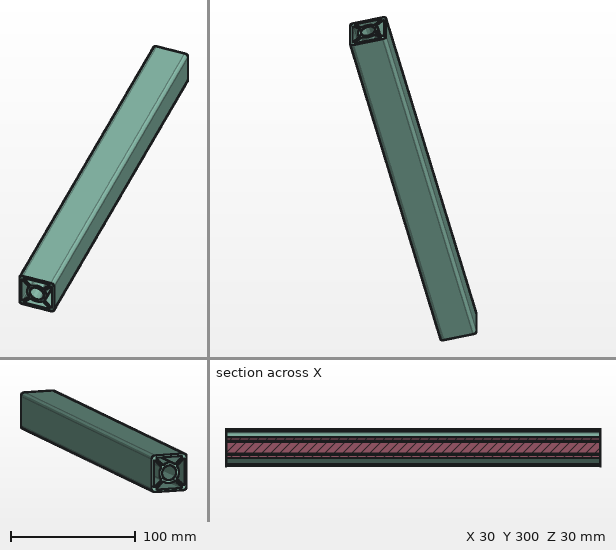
import cadquery as cq
import math

length = 300.0
side = 30.0
corner_radius = 3.0
wall = 2.0

bore_diameter = 12.0
tube_diameter = 16.8

rib_thickness = 1.9
cavity_radius = 0.5

cavity_side = side - 2 * wall
rib_start = (bore_diameter + tube_diameter) / 4
rib_end = cavity_side / 2 * math.sqrt(2)


def square_bar(width):
    """Full-length square bar centred on the Y axis."""
    return cq.Workplane("XY").box(width, length, width)


def cylinder(diameter):
    """Full-length cylinder on the Y axis."""
    return cq.Workplane("XZ").circle(diameter / 2).extrude(length / 2, both=True)


def diagonal_rib(angle):
    """Full-length radial rib at the given angle about the Y axis."""
    rib = cq.Workplane("XY").box(rib_end - rib_start, length, rib_thickness)
    rib = rib.translate(((rib_start + rib_end) / 2, 0, 0))
    return rib.rotate((0, 0, 0), (0, 1, 0), angle)


cavities = square_bar(cavity_side).cut(cylinder(tube_diameter))
for rib_angle in (45, 135, 225, 315):
    cavities = cavities.cut(diagonal_rib(rib_angle))

cavities = cavities.edges("|Y").fillet(cavity_radius)

outer_bar = square_bar(side).edges("|Y").fillet(corner_radius)
result = outer_bar.cut(cavities).cut(cylinder(bore_diameter))